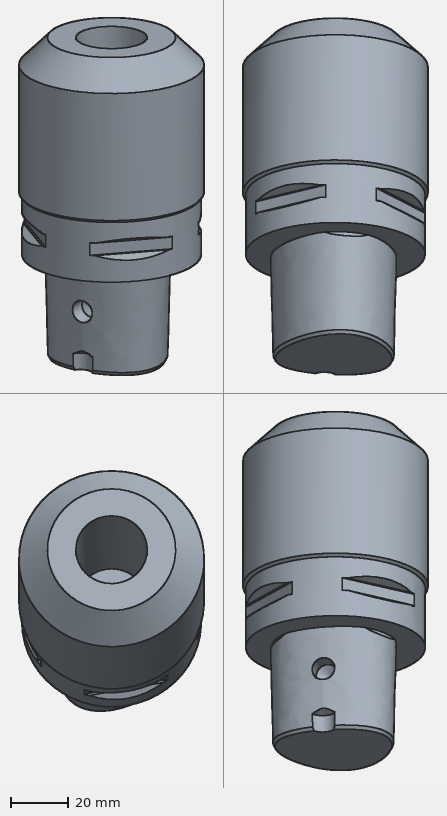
import cadquery as cq
import math

TOTAL_HEIGHT = 118.0
SHANK_LENGTH = 38.0

BODY_DIAMETER = 65.0
FRONT_FACE_DIAMETER = 45.0
FLANGE_DIAMETER = 63.0
FLANGE_TOP_Z = 60.1
BORE_DIAMETER = 25.0
BORE_DEPTH = 59.0

SHANK_RADIUS = 22.0
LOBE_HEIGHT = 1.3
CURVE_POINTS = 48
TAPER_PER_SIDE = 1 / 40
NECK_LENGTH = 2.8
END_CHAMFER_HEIGHT = 1.3
END_CHAMFER_WIDTH = 0.7

RELIEF_TOP_RADIUS = 22.4
RELIEF_EDGE_RADIUS = 22.8
RELIEF_EDGE_DEPTH = 1.0
RELIEF_OUTER_RADIUS = 23.6
RELIEF_DEPTH = 2.4

SLOT_COUNT = 4
SLOT_FIRST_ANGLE = 45
SLOT_Z = 49.9
SLOT_FLOOR_RADIUS = 27.7
SLOT_FLOOR_HEIGHT = 4.6
SLOT_WALL_DEPTH = 0.8
SLOT_SIDE_ANGLE = 30

DRILL_TIP_ANGLE = 118
SIDE_HOLE_DIAMETER = 8.0
SIDE_HOLE_Z = 22.5
SIDE_HOLE_DEPTH = 7.1
KEYWAY_DIAMETER = 8.8
KEYWAY_AXIS_Y = -21.5
KEYWAY_DEPTH = 6.1


def make_body():
    """Revolve the flange and the chamfered body above it."""
    body_radius = BODY_DIAMETER / 2
    flange_radius = FLANGE_DIAMETER / 2
    front_radius = FRONT_FACE_DIAMETER / 2
    shoulder_z = FLANGE_TOP_Z + body_radius - flange_radius
    front_chamfer_z = TOTAL_HEIGHT - (body_radius - front_radius)
    profile = [
        (0, SHANK_LENGTH),
        (flange_radius, SHANK_LENGTH),
        (flange_radius, FLANGE_TOP_Z),
        (body_radius, shoulder_z),
        (body_radius, front_chamfer_z),
        (front_radius, TOTAL_HEIGHT),
        (0, TOTAL_HEIGHT),
    ]
    return cq.Workplane("XZ").polyline(profile).close().revolve(360, (0, 0), (0, 1))


def lobed_wire(mean_radius, z):
    """Smooth closed three-lobed curve (a hypotrochoid) at height z."""

    def point(angle):
        x = mean_radius * math.sin(angle) - LOBE_HEIGHT * math.sin(2 * angle)
        y = mean_radius * math.cos(angle) + LOBE_HEIGHT * math.cos(2 * angle)
        return cq.Vector(x, y, z)

    step = 2 * math.pi / CURVE_POINTS
    points = [point(index * step) for index in range(CURVE_POINTS)]
    return cq.Wire.assembleEdges([cq.Edge.makeSpline(points, periodic=True)])


def make_shank():
    """Loft the chamfered end, the tapered length and the straight neck as one solid."""
    neck_z = SHANK_LENGTH - NECK_LENGTH
    taper_length = neck_z - END_CHAMFER_HEIGHT
    taper_end_radius = SHANK_RADIUS - TAPER_PER_SIDE * taper_length
    sections = [
        lobed_wire(taper_end_radius - END_CHAMFER_WIDTH, 0),
        lobed_wire(taper_end_radius, END_CHAMFER_HEIGHT),
        lobed_wire(SHANK_RADIUS, neck_z),
        lobed_wire(SHANK_RADIUS, SHANK_LENGTH),
    ]
    return cq.Workplane(cq.Solid.makeLoft(sections, True))


def make_relief():
    """Ring with a two-slope inner side that trims the lobes under the flange."""
    profile = [
        (RELIEF_TOP_RADIUS, SHANK_LENGTH),
        (RELIEF_EDGE_RADIUS, SHANK_LENGTH - RELIEF_EDGE_DEPTH),
        (RELIEF_OUTER_RADIUS, SHANK_LENGTH - RELIEF_DEPTH),
        (RELIEF_OUTER_RADIUS, SHANK_LENGTH),
    ]
    return cq.Workplane("XZ").polyline(profile).close().revolve(360, (0, 0), (0, 1))


def make_bore():
    """Flat-bottomed tool bore in the front face."""
    floor = cq.Workplane("XY").workplane(offset=TOTAL_HEIGHT - BORE_DEPTH)
    return floor.circle(BORE_DIAMETER / 2).extrude(BORE_DEPTH)


def make_slot(angle):
    """Straight gripper slot, square at its floor and with flared sides, facing the given direction."""
    mouth_radius = FLANGE_DIAMETER / 2
    half_floor = SLOT_FLOOR_HEIGHT / 2
    wall_radius = SLOT_FLOOR_RADIUS + SLOT_WALL_DEPTH
    side_rise = (mouth_radius - wall_radius) * math.tan(math.radians(SLOT_SIDE_ANGLE))
    half_mouth = half_floor + side_rise
    profile = [
        (SLOT_FLOOR_RADIUS, SLOT_Z - half_floor),
        (wall_radius, SLOT_Z - half_floor),
        (mouth_radius, SLOT_Z - half_mouth),
        (mouth_radius, SLOT_Z + half_mouth),
        (wall_radius, SLOT_Z + half_floor),
        (SLOT_FLOOR_RADIUS, SLOT_Z + half_floor),
    ]
    slot = cq.Workplane("XZ").polyline(profile).close().extrude(FLANGE_DIAMETER / 2, both=True)
    return slot.rotate((0, 0, 0), (0, 0, 1), angle)


def make_drill(diameter, depth):
    """Drill shape along +Z from the origin; depth excludes the conical tip."""
    radius = diameter / 2
    tip_height = radius / math.tan(math.radians(DRILL_TIP_ANGLE / 2))
    profile = [(0, 0), (radius, 0), (radius, depth), (0, depth + tip_height)]
    return cq.Workplane("XZ").polyline(profile).close().revolve(360, (0, 0), (0, 1))


def make_side_hole():
    """Blind drilled hole running along +Y from the flattest shank side."""
    surface_y = LOBE_HEIGHT - SHANK_RADIUS
    clearance = LOBE_HEIGHT
    drill = make_drill(SIDE_HOLE_DIAMETER, SIDE_HOLE_DEPTH + clearance)
    along_y = drill.rotate((0, 0, 0), (1, 0, 0), -90)
    return along_y.translate((0, surface_y - clearance, SIDE_HOLE_Z))


def make_keyway():
    """Drilled keyway running up from the shank end, open to the -Y side."""
    return make_drill(KEYWAY_DIAMETER, KEYWAY_DEPTH).translate((0, KEYWAY_AXIS_Y, 0))


shank = make_shank().cut(make_relief()).cut(make_side_hole()).cut(make_keyway())
result = make_body().union(shank).cut(make_bore())
for index in range(SLOT_COUNT):
    result = result.cut(make_slot(SLOT_FIRST_ANGLE + index * 360 / SLOT_COUNT))